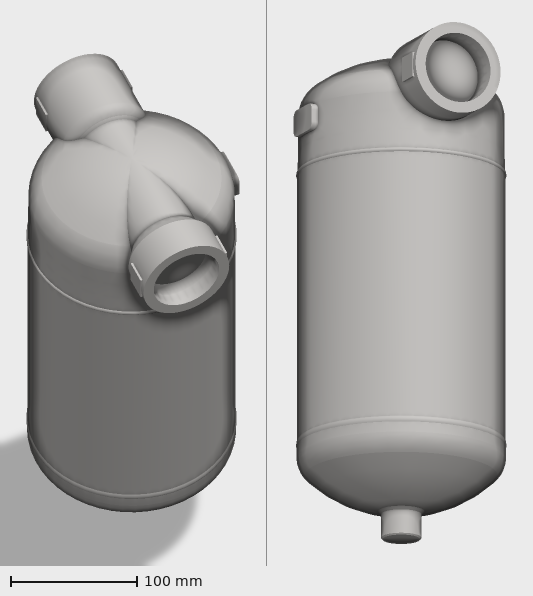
import cadquery as cq
import math

total_height = 397
total_length = 220.0

body_radius = 82.5
cap_radius = 83.0
cap_bottom_z = 66.5
cap_top_z = 75.0
body_bottom_z = 79.8
body_top_z = 296.0
cover_bottom_z = 299.7
cover_bottom_radius = 82.0
cover_top_radius = 81.8
weld_bulge_radius = 83.5

top_crown_radius = 119.0
top_knuckle_radius = 26.2
bottom_crown_radius = 111.0
bottom_knuckle_radius = 20.5

drain_radius = 32.0 / 2
drain_chamfer = 1.0
drain_weld = 2.5

port_radius = 74.0 / 2
neck_radius = 29.8
port_axis_z = total_height - port_radius
inlet_shoulder_x = -54.5
inlet_round_end_x = -45.0
inlet_neck_x = -42.5
inlet_round_radius = 11.5
outlet_neck_x = 68.0
outlet_shoulder_x = 79.8

socket_mouth_radius = 28.0
socket_bore_radius = 27.5
socket_taper_depth = 15.0
socket_depth = 23.0

pad_size = 20.0
pad_offset_x = 95.0
pad_half_span = 37.5

seat_width = 35.0
seat_height = 21.5
seat_center_z = 334.0
seat_face_y = 85.8
seat_corner_radius = 5.5


def dished_head(wall_radius, crown_radius, knuckle_radius):
    """Tangent head on a straight wall, with heights measured outward from the wall's end.

    Returns the knuckle midpoint and knuckle end as (radius, height), and the crown centre height.
    """
    knuckle_center = wall_radius - knuckle_radius
    angle = math.asin(knuckle_center / (crown_radius - knuckle_radius))
    crown_center = -(crown_radius - knuckle_radius) * math.cos(angle)

    def on_knuckle(tilt):
        return (knuckle_center + knuckle_radius * math.sin(tilt), knuckle_radius * math.cos(tilt))

    return on_knuckle((angle + math.pi / 2) / 2), on_knuckle(angle), crown_center


def crown_point(crown_radius, crown_center, radius):
    """Point (radius, height) on the crown sphere at a given radius from the vessel axis."""
    return (radius, crown_center + math.sqrt(crown_radius**2 - radius**2))


def make_vessel():
    """Solid of revolution: drain stub, bottom cap, body, cover and the two weld beads."""
    top_mid, top_end, top_center = dished_head(cover_top_radius, top_crown_radius, top_knuckle_radius)
    low_mid, low_end, low_center = dished_head(cap_radius, bottom_crown_radius, bottom_knuckle_radius)

    apex_z = port_axis_z + neck_radius
    cover_top_z = apex_z - (top_crown_radius + top_center)

    def top_point(point):
        return (point[0], cover_top_z + point[1])

    def low_point(point):
        return (point[0], cap_bottom_z - point[1])

    weld_radius = drain_radius + drain_weld
    weld_end = low_point(crown_point(bottom_crown_radius, low_center, weld_radius))
    low_crown_mid = low_point(crown_point(bottom_crown_radius, low_center, (weld_radius + low_end[0]) / 2))
    top_crown_mid = top_point(crown_point(top_crown_radius, top_center, top_end[0] / 2))

    profile = (
        cq.Workplane("XZ")
        .lineTo(drain_radius - drain_chamfer, 0)
        .lineTo(drain_radius, drain_chamfer)
        .lineTo(drain_radius, weld_end[1] - drain_weld)
        .lineTo(*weld_end)
        .threePointArc(low_crown_mid, low_point(low_end))
        .threePointArc(low_point(low_mid), (cap_radius, cap_bottom_z))
        .lineTo(cap_radius, cap_top_z)
        .threePointArc((weld_bulge_radius, (cap_top_z + body_bottom_z) / 2), (body_radius, body_bottom_z))
        .lineTo(body_radius, body_top_z)
        .threePointArc(
            (weld_bulge_radius, (body_top_z + cover_bottom_z) / 2), (cover_bottom_radius, cover_bottom_z)
        )
        .lineTo(cover_top_radius, cover_top_z)
        .threePointArc(top_point(top_mid), top_point(top_end))
        .threePointArc(top_crown_mid, (0, apex_z))
        .close()
    )
    return profile.revolve(360, (0, 0, 0), (0, 1, 0))


def make_pipe():
    """Horizontal pipe through the cover with an enlarged port at each end."""
    end_x = total_length / 2
    round_center = port_radius - inlet_round_radius

    def round_height(x):
        return round_center + math.sqrt(inlet_round_radius**2 - (x - inlet_shoulder_x) ** 2)

    round_mid_x = (inlet_shoulder_x + inlet_round_end_x) / 2
    profile = (
        cq.Workplane("XY")
        .moveTo(-end_x, 0)
        .lineTo(-end_x, port_radius)
        .lineTo(inlet_shoulder_x, port_radius)
        .threePointArc(
            (round_mid_x, round_height(round_mid_x)), (inlet_round_end_x, round_height(inlet_round_end_x))
        )
        .lineTo(inlet_neck_x, neck_radius)
        .lineTo(outlet_neck_x, neck_radius)
        .lineTo(outlet_shoulder_x, port_radius)
        .lineTo(end_x, port_radius)
        .lineTo(end_x, 0)
        .close()
    )
    return profile.revolve(360, (0, 0, 0), (1, 0, 0)).translate((0, 0, port_axis_z))


def make_socket(side):
    """Socket at the +X end (side = 1) or the -X end (side = -1)."""
    mouth_x = side * total_length / 2
    taper_x = mouth_x - side * socket_taper_depth
    floor_x = mouth_x - side * socket_depth
    return (
        cq.Workplane("XY")
        .moveTo(mouth_x, 0)
        .lineTo(mouth_x, socket_mouth_radius)
        .lineTo(taper_x, socket_bore_radius)
        .lineTo(floor_x, socket_bore_radius)
        .lineTo(floor_x, 0)
        .close()
        .revolve(360, (0, 0, 0), (1, 0, 0))
        .translate((0, 0, port_axis_z))
    )


def make_pads(side):
    """Front and back pads of one port, formed by a single block through the port."""
    center = (side * pad_offset_x, 0, port_axis_z)
    return cq.Workplane("XY").box(pad_size, 2 * pad_half_span, pad_size).translate(center)


def make_seat():
    """Rounded nameplate seat reaching from the vessel axis to its outer face."""
    return (
        cq.Workplane("XY")
        .box(seat_width, seat_face_y, seat_height)
        .edges("|Y")
        .fillet(seat_corner_radius)
        .translate((0, seat_face_y / 2, seat_center_z))
    )


result = make_vessel().union(make_pipe()).union(make_seat())
for side in (-1, 1):
    result = result.union(make_pads(side)).cut(make_socket(side))